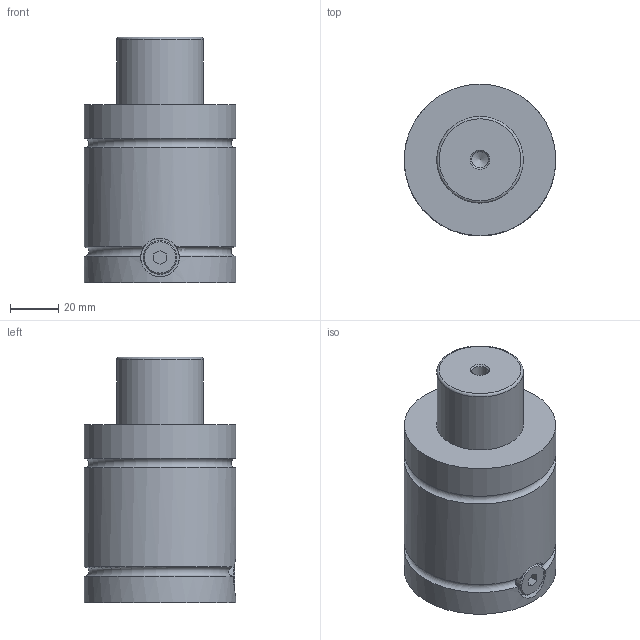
import cadquery as cq
import math

BODY_DIAMETER = 63.0
BODY_HEIGHT = 74.0
BODY_RADIUS = BODY_DIAMETER / 2

GROOVE_RADIUS = 2.0
GROOVE_HEIGHTS = (13.0, 58.0)

ROD_DIAMETER = 36.0
TOTAL_HEIGHT = 102.0
ROD_EDGE_RADIUS = 1.0

ROD_HOLE_DIAMETER = 6.8
ROD_HOLE_MOUTH_DIAMETER = 8.0
ROD_HOLE_DEPTH = 16.0
DRILL_POINT_ANGLE = 118.0

PLUG_HEIGHT = 10.5
RECESS_DIAMETER = 16.0
RECESS_FLOOR_Y = -28.0
PLUG_DIAMETER = 14.0
PLUG_FACE_Y = -31.0
PLUG_CHAMFER = 0.5
HEX_ACROSS_FLATS = 5.0
HEX_DEPTH = 5.0
HEX_SIDES = 6
HEX_TURN = 90.0


def make_body():
    """Plain cylinder with its half-round grooves."""
    body = cq.Workplane("XY").circle(BODY_RADIUS).extrude(BODY_HEIGHT)
    for height in GROOVE_HEIGHTS:
        center = cq.Vector(0, 0, height)
        ring = cq.Solid.makeTorus(BODY_RADIUS, GROOVE_RADIUS, center, cq.Vector(0, 0, 1))
        body = body.cut(cq.Workplane(obj=ring))
    return body


def make_rod():
    """Rod above the body, with a rounded end edge."""
    rod = cq.Workplane("XY", origin=(0, 0, BODY_HEIGHT)).circle(ROD_DIAMETER / 2)
    rod = rod.extrude(TOTAL_HEIGHT - BODY_HEIGHT)
    return rod.faces(">Z").edges().fillet(ROD_EDGE_RADIUS)


def make_rod_hole():
    """Cutter for the rod-end hole: 45 degree mouth, straight bore, conical drill point."""
    bore_radius = ROD_HOLE_DIAMETER / 2
    mouth_radius = ROD_HOLE_MOUTH_DIAMETER / 2
    mouth_depth = mouth_radius - bore_radius
    bore_end = TOTAL_HEIGHT - ROD_HOLE_DEPTH
    point_length = bore_radius / math.tan(math.radians(DRILL_POINT_ANGLE / 2))
    half_section = (
        cq.Workplane("XZ")
        .moveTo(0, TOTAL_HEIGHT)
        .lineTo(mouth_radius, TOTAL_HEIGHT)
        .lineTo(bore_radius, TOTAL_HEIGHT - mouth_depth)
        .lineTo(bore_radius, bore_end)
        .lineTo(0, bore_end - point_length)
        .close()
    )
    return half_section.revolve(360, (0, 0, 0), (0, 1, 0))


def plug_plane(y):
    """Workplane on the plug axis at the given Y, facing -Y."""
    return cq.Workplane("XZ", origin=(0, y, PLUG_HEIGHT))


def make_recess():
    """Cutter for the round recess, open through the body's side."""
    return plug_plane(RECESS_FLOOR_Y).circle(RECESS_DIAMETER / 2).extrude(BODY_RADIUS + RECESS_FLOOR_Y)


def make_plug():
    """Chamfered plug rising from the recess floor to its outer face."""
    plug = plug_plane(RECESS_FLOOR_Y).circle(PLUG_DIAMETER / 2).extrude(RECESS_FLOOR_Y - PLUG_FACE_Y)
    return plug.faces("<Y").edges().chamfer(PLUG_CHAMFER)


def make_hex_socket():
    """Cutter for the hexagonal key socket, two corners pointing along Z."""
    across_corners = HEX_ACROSS_FLATS / math.cos(math.pi / HEX_SIDES)
    socket = plug_plane(PLUG_FACE_Y).transformed(rotate=(0, 0, HEX_TURN)).polygon(HEX_SIDES, across_corners)
    return socket.extrude(-HEX_DEPTH)


cylinder = make_body().union(make_rod()).cut(make_rod_hole())
result = cylinder.cut(make_recess()).union(make_plug()).cut(make_hex_socket())